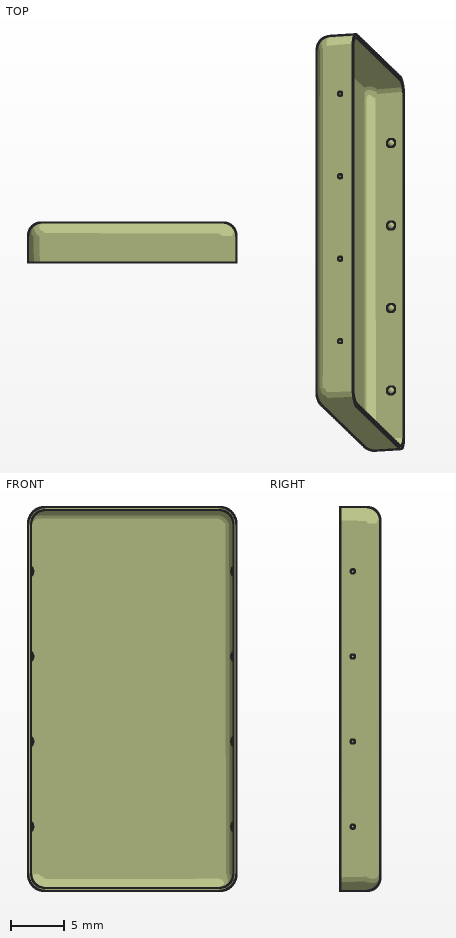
import cadquery as cq

width = 19.6
depth = 3.8
height = 36.1
wall = 0.3
corner_radius = 1.6
floor_edge_radius = 1.3

dimple_radius = 0.2
bump_radius = dimple_radius + wall
detent_pitch = 8.0
detent_count = 4
detent_from_rim = 1.2


def rounded_block(inset):
    """Block set in from the outer faces, open end flush with the rim, with rounded corners and floor edge."""
    block_depth = depth - inset
    return (
        cq.Workplane("XY")
        .box(width - 2 * inset, block_depth, height - 2 * inset)
        .translate((0, block_depth / 2, 0))
        .edges("|Y")
        .fillet(corner_radius - inset)
        .faces(">Y")
        .edges()
        .fillet(floor_edge_radius - inset)
    )


def detent_spheres(radius):
    """One sphere per detent, centred on the outer faces of the long side walls."""
    first_z = -detent_pitch * (detent_count - 1) / 2
    centres = [
        (detent_from_rim, first_z + i * detent_pitch, side * width / 2)
        for side in (-1, 1)
        for i in range(detent_count)
    ]
    return cq.Workplane("YZ").pushPoints(centres).sphere(radius)


outer_block = rounded_block(0)
bumps = detent_spheres(bump_radius).intersect(outer_block)
dimples = detent_spheres(dimple_radius)
tray = outer_block.cut(rounded_block(wall))

result = tray.union(bumps).cut(dimples)